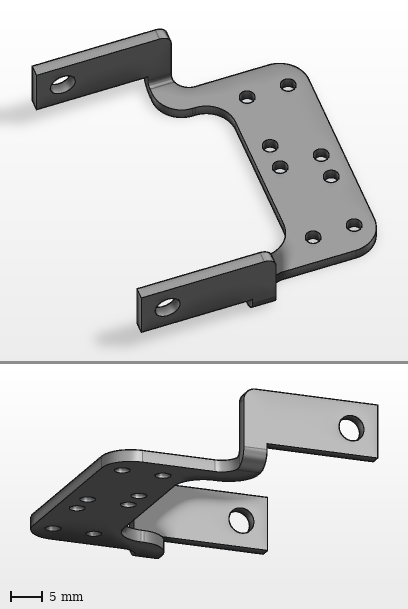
import cadquery as cq

width = 50.0
depth = 43.5
height = 13.0
thickness = 2.0

plate_half_width = 20.0
plate_depth = 14.0
notch_half_width = 16.0
corner_radius = 5.0
neck_radius = 3.0

tab_rear = 20.5
tab_front = 24.5
bend_outer_radius = 3.0
bend_inner_radius = bend_outer_radius - thickness

arm_bottom = 4.0
arm_corner_radius = 2.0
arm_hole_diameter = 4.25
arm_hole_inset = 4.5

plate_hole_diameter = 2.5
outer_hole_x = 15.1
inner_hole_x = 4.6
rear_row = 3.5
front_row = 10.5

half_width = width / 2
plate_hole_points = [
    (-outer_hole_x, -rear_row),
    (0, -rear_row),
    (inner_hole_x, -rear_row),
    (outer_hole_x, -rear_row),
    (-outer_hole_x, -front_row),
    (-inner_hole_x, -front_row),
    (0, -front_row),
    (outer_hole_x, -front_row),
]


def rounded_trough(trough_width, bend_radius):
    """Solid block as deep as the bracket, with its two lower long edges rounded."""
    return (
        cq.Workplane("XY")
        .box(trough_width, depth, height, centered=(True, False, False))
        .edges("|Y and <Z")
        .fillet(bend_radius)
        .translate((0, -depth, 0))
    )


def make_channel():
    """Bent sheet with a U section, before its sides and floor are trimmed to outline."""
    outer = rounded_trough(width, bend_outer_radius)
    inner = rounded_trough(width - 2 * thickness, bend_inner_radius)
    return outer.cut(inner.translate((0, 0, thickness)))


def vertical_edges_at(x, y):
    """Selector for the pair of vertical edges at (-x, y) and (x, y)."""
    reach = 0.25
    selectors = [
        cq.selectors.BoxSelector(
            (side * x - reach, y - reach, -reach),
            (side * x + reach, y + reach, height),
        )
        for side in (-1, 1)
    ]
    return selectors[0] + selectors[1]


def make_plate_envelope():
    """Prism over the outline of the plate and tabs, up to the lower edge of the arms."""
    plate_and_necks = cq.Workplane("XY").box(
        2 * plate_half_width, tab_front, arm_bottom, centered=(True, False, False)
    ).translate((0, -tab_front, 0))
    tabs = cq.Workplane("XY").box(
        width, tab_front - tab_rear, arm_bottom, centered=(True, False, False)
    ).translate((0, -tab_front, 0))
    notch = cq.Workplane("XY").box(
        2 * notch_half_width, tab_front - plate_depth, arm_bottom, centered=(True, False, False)
    ).translate((0, -tab_front, 0))
    envelope = plate_and_necks.union(tabs).cut(notch)

    rounded_corners = [
        (plate_half_width, 0, corner_radius),
        (plate_half_width, -tab_rear, neck_radius),
        (notch_half_width, -plate_depth, corner_radius),
        (notch_half_width, -tab_front, corner_radius),
    ]
    for x, y, radius in rounded_corners:
        envelope = envelope.edges("|Z").edges(vertical_edges_at(x, y)).fillet(radius)
    return envelope


def make_arm_envelope():
    """Block across both arms with their rear upper corner rounded and pivot holes drilled."""
    arm_length = depth - tab_rear
    arm_height = height - arm_bottom
    block = (
        cq.Workplane("XY")
        .box(width, arm_length, arm_height, centered=(True, False, False))
        .translate((0, -depth, arm_bottom))
        .edges("|X and >Y and >Z")
        .fillet(arm_corner_radius)
    )
    pivot_bore = (
        cq.Workplane("YZ")
        .center(arm_hole_inset - depth, arm_bottom + arm_height / 2)
        .circle(arm_hole_diameter / 2)
        .extrude(half_width, both=True)
    )
    return block.cut(pivot_bore)


def make_plate_holes():
    """Cylinders for all the holes through the base plate."""
    return (
        cq.Workplane("XY")
        .pushPoints(plate_hole_points)
        .circle(plate_hole_diameter / 2)
        .extrude(thickness)
    )


envelope = make_plate_envelope().union(make_arm_envelope())
result = make_channel().intersect(envelope).cut(make_plate_holes())